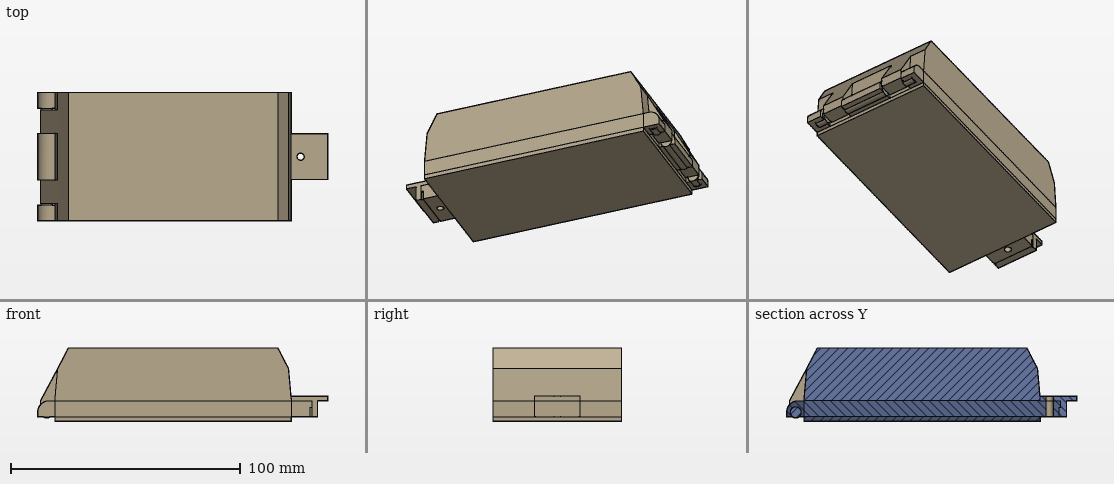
import cadquery as cq
import math


TOTAL_LENGTH = 126.5
WIDTH = 56.0
TOTAL_HEIGHT = 32.0

BASE_FRONT = 7.5
BASE_BACK = 110.6
PLATE_THICKNESS = 2.0
TRAY_TOP = 9.0

BEVEL_BOTTOM = 23.0
BEVEL_RUN = 4.65
DRAFT_ANGLE = 5.0
DRAFT_RUN = (BEVEL_BOTTOM - TRAY_TOP) * math.tan(math.radians(DRAFT_ANGLE))
WALL_FRONT = BASE_FRONT + DRAFT_RUN
WALL_BACK = BASE_BACK - DRAFT_RUN

PIN_DIAMETER = 5.0
PIN_X = 4.0
PIN_Z = 4.0
LUG_RADIUS = TRAY_TOP - PIN_Z
CENTRE_LUG_WIDTH = 20.4
OUTER_LUG_WIDTH = 6.9
EAR_WIDTH = 10.2
EAR_FRONT = 1.25
OUTER_PIN_LENGTH = 5.0
EAR_INNER_Y = CENTRE_LUG_WIDTH / 2
EAR_OUTER_Y = EAR_INNER_Y + EAR_WIDTH
PIN_END_Y = EAR_OUTER_Y + OUTER_PIN_LENGTH
OUTER_LUG_INNER_Y = WIDTH / 2 - OUTER_LUG_WIDTH

LATCH_WIDTH = 20.0
LATCH_THICKNESS = 2.0
LATCH_TOP = TRAY_TOP + LATCH_THICKNESS
LEG_FRONT = 119.5
LEG_BACK = 122.0
HOOK_DEPTH = 0.8
HOOK_TOP = 6.0
HOOK_WIDTH = 19.0
LATCH_HOLE_DIAMETER = 3.0
LATCH_HOLE_X = BASE_BACK + 4.0


def block(x_start, x_end, width, z_start, z_end):
    """A box that is symmetric about Y = 0."""
    size = (x_end - x_start, width, z_end - z_start)
    return cq.Workplane("XY").box(*size, centered=(False, True, False)).translate((x_start, 0, z_start))


def extrude_along_y(profile, y_start, y_end):
    """Extrude a closed XZ profile from y_start to y_end."""
    return profile.extrude(y_start - y_end).translate((0, y_start, 0))


def hinge_pin(y_start, y_end):
    profile = cq.Workplane("XZ").center(PIN_X, PIN_Z).circle(PIN_DIAMETER / 2)
    return extrude_along_y(profile, y_start, y_end)


def ear(y_start, y_end):
    """A wedge in front of the cover's wall, flat underneath at the level of the hinge axis."""
    profile = (
        cq.Workplane("XZ")
        .moveTo(BASE_FRONT, PIN_Z)
        .lineTo(EAR_FRONT, PIN_Z)
        .lineTo(EAR_FRONT, TRAY_TOP)
        .lineTo(WALL_FRONT, BEVEL_BOTTOM)
        .lineTo(BASE_FRONT, TRAY_TOP)
        .close()
    )
    return extrude_along_y(profile, y_start, y_end)


def make_cover():
    """Cover body with its ears and the pin stubs on both sides of each ear."""
    profile = (
        cq.Workplane("XZ")
        .moveTo(BASE_FRONT, TRAY_TOP)
        .lineTo(WALL_FRONT, BEVEL_BOTTOM)
        .lineTo(WALL_FRONT + BEVEL_RUN, TOTAL_HEIGHT)
        .lineTo(WALL_BACK - BEVEL_RUN, TOTAL_HEIGHT)
        .lineTo(WALL_BACK, BEVEL_BOTTOM)
        .lineTo(BASE_BACK, TRAY_TOP)
        .close()
    )
    body = extrude_along_y(profile, -WIDTH / 2, WIDTH / 2)
    body = body.union(ear(EAR_INNER_Y, EAR_OUTER_Y))
    body = body.union(ear(-EAR_OUTER_Y, -EAR_INNER_Y))
    body = body.union(hinge_pin(-EAR_INNER_Y, EAR_INNER_Y))
    body = body.union(hinge_pin(EAR_OUTER_Y, PIN_END_Y))
    return body.union(hinge_pin(-PIN_END_Y, -EAR_OUTER_Y))


def make_lug(y_start, y_end):
    """Hinge lug with a quarter-round front and a socket for the pin, which breaks out underneath."""
    profile = (
        cq.Workplane("XZ")
        .moveTo(BASE_FRONT, PLATE_THICKNESS)
        .lineTo(0, PLATE_THICKNESS)
        .lineTo(0, PIN_Z)
        .radiusArc((LUG_RADIUS, TRAY_TOP), LUG_RADIUS)
        .lineTo(BASE_FRONT, TRAY_TOP)
        .close()
    )
    return extrude_along_y(profile, y_start, y_end).cut(hinge_pin(-PIN_END_Y, PIN_END_Y))


def latch_hole():
    return cq.Workplane("XY").center(LATCH_HOLE_X, 0).circle(LATCH_HOLE_DIAMETER / 2).extrude(LATCH_TOP)


def make_plate():
    return block(BASE_FRONT, BASE_BACK, WIDTH, 0, PLATE_THICKNESS)


def make_tray():
    """Tray with the keeper block at its back, notched at the bottom for the hook of the latch."""
    body = block(BASE_FRONT, BASE_BACK, WIDTH, PLATE_THICKNESS, TRAY_TOP)
    body = body.union(block(BASE_BACK, LEG_FRONT, LATCH_WIDTH, PLATE_THICKNESS, TRAY_TOP))
    notch = block(LEG_FRONT - HOOK_DEPTH, LEG_FRONT, LATCH_WIDTH, PLATE_THICKNESS, HOOK_TOP)
    return body.cut(notch).cut(latch_hole())


def make_latch(cover_body):
    """Latch tongue that butts against the cover's drafted wall, with a leg and a hook below it."""
    tongue = block(WALL_BACK, TOTAL_LENGTH, LATCH_WIDTH, TRAY_TOP, LATCH_TOP).cut(cover_body)
    leg = block(LEG_FRONT, LEG_BACK, LATCH_WIDTH, PLATE_THICKNESS, TRAY_TOP)
    hook = block(LEG_FRONT - HOOK_DEPTH, LEG_FRONT, HOOK_WIDTH, PLATE_THICKNESS, HOOK_TOP)
    return tongue.union(leg).union(hook).cut(latch_hole())


cover = make_cover()
tray = make_tray()
plate = make_plate()
latch = make_latch(cover)

lug_spans = [
    (-WIDTH / 2, -OUTER_LUG_INNER_Y),
    (-EAR_INNER_Y, EAR_INNER_Y),
    (OUTER_LUG_INNER_Y, WIDTH / 2),
]
lugs = [make_lug(y_start, y_end) for y_start, y_end in lug_spans]

result = cq.Compound.makeCompound(
    [cover.val(), tray.val(), plate.val(), latch.val(), *[lug.val() for lug in lugs]]
)